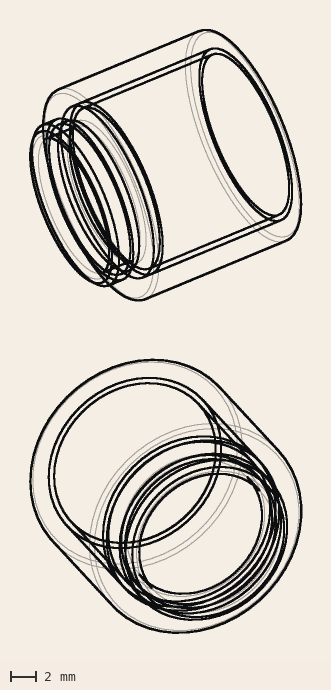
import cadquery as cq
outer_diameter = 17.8
total_length = 15.8
edge_round = 0.3

thread_diameter = 13.6
neck_diameter = 12.7
neck_length = 0.8
spigot_length = 2.5
collar_chamfer = 0.41

bore_diameter = 11.4
bore_length = 3.3
bore_round = 0.34

liner_thickness = (thread_diameter - neck_diameter) / 2
socket_diameter = thread_diameter + 2 * liner_thickness
liner_gap = neck_length

front_end = -total_length / 2
back_end = total_length / 2
shoulder = front_end + spigot_length
neck_start = shoulder - neck_length
socket_floor = front_end + bore_length
liner_start = socket_floor + liner_gap


def cylinder(diameter, start, end):
    """Solid cylinder about the Y axis from Y = start to Y = end."""
    return cq.Workplane("XZ", origin=(0, start, 0)).circle(diameter / 2).extrude(start - end)


def make_housing():
    """Outer body with its spigot, bore and socket."""
    barrel = cylinder(outer_diameter, shoulder, back_end)
    collar = cylinder(thread_diameter, front_end, neck_start)
    collar = collar.faces("<Y").edges().chamfer(collar_chamfer)
    neck = cylinder(neck_diameter, neck_start, shoulder)
    body = barrel.union(neck).union(collar)

    bore = cylinder(bore_diameter, front_end, socket_floor)
    socket = cylinder(socket_diameter, socket_floor, back_end)
    body = body.cut(bore).cut(socket)

    body = body.edges(cq.selectors.RadiusNthSelector(0)).fillet(bore_round)
    return body.edges(cq.selectors.RadiusNthSelector(-1)).fillet(edge_round)


def make_liner():
    """Sleeve that fills the socket wall and ends flush with the housing."""
    blank = cylinder(socket_diameter, liner_start, back_end)
    return blank.cut(cylinder(thread_diameter, liner_start, back_end))


housing = make_housing()
liner = make_liner()

result = cq.Compound.makeCompound([housing.val(), liner.val()])